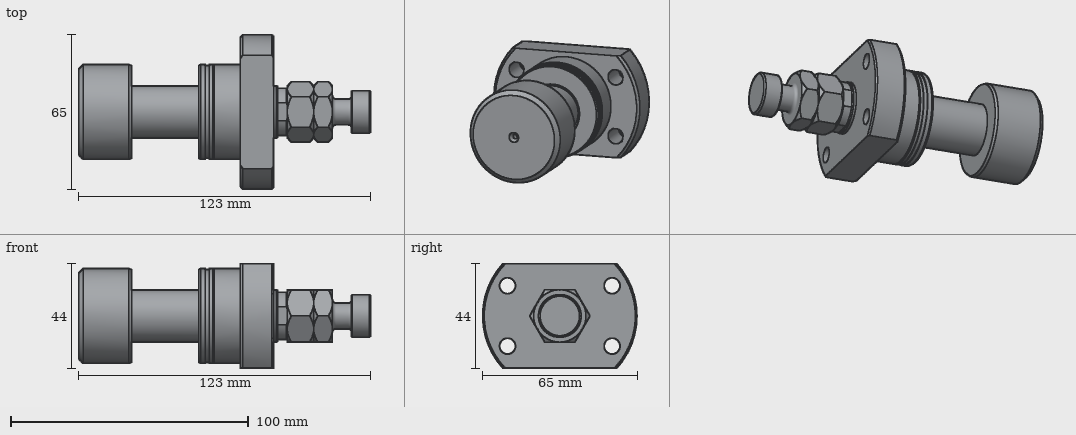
import cadquery as cq
import math


head_length = 22.3
stroke_gap = 28.2
sleeve_length = 17.5
flange_thickness = 14.0
collar_length = 1.8
wrench_neck_length = 4.0
nut_height = 11.1
stud_hex_height = 7.9
stud_neck_length = 8.0
overall_length = 123.0

sleeve_front = head_length + stroke_gap
flange_front = sleeve_front + sleeve_length
flange_back = flange_front + flange_thickness
collar_back = flange_back + collar_length
nut_front = collar_back + wrench_neck_length
stud_hex_front = nut_front + nut_height
stud_neck_front = stud_hex_front + stud_hex_height
stud_head_front = stud_neck_front + stud_neck_length

head_diameter = 40.0
head_front_chamfer = 1.9
head_back_chamfer_length = 1.2
head_back_chamfer_depth = 0.5
rod_diameter = 22.0
collar_chamfer_length = 0.7
collar_chamfer_depth = 0.3
wrench_neck_diameter = 21.4
wrench_neck_chamfer = 0.4
wrench_flat_spacing = 20.0
center_hole_diameter = 2.0
center_hole_depth = 6.0
center_countersink_diameter = 4.2
center_countersink_angle = 60.0
drill_point_angle = 118.0

sleeve_diameter = 40.0
sleeve_chamfer_length = 0.8
sleeve_chamfer_depth = 0.5
wide_groove_offset = 2.7
wide_groove_width = 1.8
narrow_groove_offset = 6.0
narrow_groove_width = 0.5
groove_depth = 0.4
mouth_chamfer = 1.0
flange_diameter = 65.0
flange_flat_spacing = 44.0
flange_front_chamfer = 1.1
flange_back_chamfer = 0.7
bolt_hole_diameter = 6.6
bolt_circle_diameter = 50.8
bolt_hole_angles = (30.0, 150.0, 210.0, 330.0)

hex_across_flats = 22.0
hex_corner_diameter = hex_across_flats / math.cos(math.radians(30.0))
hex_face_diameter = 22.0
stud_neck_diameter = 11.0
stud_neck_fillet_hex_side = 1.4
stud_neck_fillet_head_side = 1.2
stud_head_diameter = 18.0
stud_head_front_chamfer = 0.4
stud_head_back_chamfer = 0.7


def cylinder(start, length, diameter):
    """Cylinder on the X axis."""
    return cq.Workplane("YZ", origin=(start, 0, 0)).circle(diameter / 2).extrude(length)


def turned(profile):
    """Turned solid from (x, radius) points, closed along the X axis."""
    points = [(profile[0][0], 0), *profile, (profile[-1][0], 0)]
    return cq.Workplane("XY").polyline(points).close().revolve(360, (0, 0, 0), (1, 0, 0))


def bar_between_flats(start, length, width, height):
    """Rectangular bar on the X axis, width along Y and height along Z."""
    return cq.Workplane("YZ", origin=(start, 0, 0)).rect(width, height).extrude(length)


def ring(start, length, outer_diameter, inner_diameter):
    """Ring around the X axis."""
    return cylinder(start, length, outer_diameter).cut(cylinder(start, length, inner_diameter))


def make_center_hole():
    """Center-drilled hole in the rod head: countersink, pilot and drill point."""
    pilot_radius = center_hole_diameter / 2
    countersink_radius = center_countersink_diameter / 2
    countersink_tangent = math.tan(math.radians(center_countersink_angle / 2))
    countersink_depth = (countersink_radius - pilot_radius) / countersink_tangent
    point_length = pilot_radius / math.tan(math.radians(drill_point_angle / 2))
    return (
        cq.Workplane("XY")
        .polyline([
            (0, 0),
            (0, countersink_radius),
            (countersink_depth, pilot_radius),
            (center_hole_depth, pilot_radius),
            (center_hole_depth + point_length, 0),
        ])
        .close()
        .revolve(360, (0, 0, 0), (1, 0, 0))
    )


def make_rod():
    """Round head and rod, ending in a wrench neck with four flats."""
    head_radius = head_diameter / 2
    rod_radius = rod_diameter / 2
    neck_radius = wrench_neck_diameter / 2
    body = turned([
        (0, head_radius - head_front_chamfer),
        (head_front_chamfer, head_radius),
        (head_length - head_back_chamfer_length, head_radius),
        (head_length, head_radius - head_back_chamfer_depth),
        (head_length, rod_radius),
        (collar_back - collar_chamfer_length, rod_radius),
        (collar_back, rod_radius - collar_chamfer_depth),
    ])
    neck = turned([
        (collar_back, neck_radius),
        (nut_front - wrench_neck_chamfer, neck_radius),
        (nut_front, neck_radius - wrench_neck_chamfer),
    ])
    flats = bar_between_flats(collar_back, wrench_neck_length, wrench_flat_spacing, wrench_flat_spacing)
    return body.union(neck.intersect(flats)).cut(make_center_hole())


def make_sleeve():
    """Front cylinder of the housing with its two ring grooves."""
    radius = sleeve_diameter / 2
    sleeve = turned([
        (sleeve_front, radius - sleeve_chamfer_depth),
        (sleeve_front + sleeve_chamfer_length, radius),
        (flange_front, radius),
    ])
    floor_diameter = sleeve_diameter - 2 * groove_depth
    grooves = (
        (wide_groove_offset, wide_groove_width),
        (narrow_groove_offset, narrow_groove_width),
    )
    for offset, width in grooves:
        sleeve = sleeve.cut(ring(sleeve_front + offset, width, sleeve_diameter, floor_diameter))
    return sleeve


def make_flange():
    """Round flange trimmed by two flats, with four bolt holes."""
    radius = flange_diameter / 2
    disc = turned([
        (flange_front, radius - flange_front_chamfer),
        (flange_front + flange_front_chamfer, radius),
        (flange_back - flange_back_chamfer, radius),
        (flange_back, radius - flange_back_chamfer),
    ])
    flats = bar_between_flats(flange_front, flange_thickness, flange_diameter, flange_flat_spacing)
    flange = disc.intersect(flats)
    for angle in bolt_hole_angles:
        hole_y = bolt_circle_diameter / 2 * math.cos(math.radians(angle))
        hole_z = bolt_circle_diameter / 2 * math.sin(math.radians(angle))
        hole = cylinder(flange_front, flange_thickness, bolt_hole_diameter)
        flange = flange.cut(hole.translate((0, hole_y, hole_z)))
    return flange


def make_housing():
    """Flanged guide for the rod, with a chamfered mouth."""
    bore_radius = rod_diameter / 2
    bore = cylinder(sleeve_front, flange_back - sleeve_front, rod_diameter)
    mouth = turned([
        (sleeve_front, bore_radius + mouth_chamfer),
        (sleeve_front + mouth_chamfer, bore_radius),
    ])
    return make_sleeve().union(make_flange()).cut(bore).cut(mouth)


def make_hexagon(start, height):
    """Hexagon with corners along Y and 45 degree turned chamfers on both ends."""
    corner_radius = hex_corner_diameter / 2
    face_radius = hex_face_diameter / 2
    chamfer = corner_radius - face_radius
    prism = cq.Workplane("YZ", origin=(start, 0, 0)).polygon(6, hex_corner_diameter).extrude(height)
    envelope = turned([
        (start, face_radius),
        (start + chamfer, corner_radius),
        (start + height - chamfer, corner_radius),
        (start + height, face_radius),
    ])
    return prism.intersect(envelope)


def make_stud_end():
    """Filleted neck and round head of the coupling stud."""
    neck_radius = stud_neck_diameter / 2
    head_radius = stud_head_diameter / 2
    hex_fillet = stud_neck_fillet_hex_side
    head_fillet = stud_neck_fillet_head_side
    diagonal = 1 - math.sqrt(0.5)
    return (
        cq.Workplane("XY")
        .moveTo(stud_neck_front, 0)
        .lineTo(stud_neck_front, neck_radius + hex_fillet)
        .threePointArc(
            (stud_neck_front + diagonal * hex_fillet, neck_radius + diagonal * hex_fillet),
            (stud_neck_front + hex_fillet, neck_radius),
        )
        .lineTo(stud_head_front - head_fillet, neck_radius)
        .threePointArc(
            (stud_head_front - diagonal * head_fillet, neck_radius + diagonal * head_fillet),
            (stud_head_front, neck_radius + head_fillet),
        )
        .lineTo(stud_head_front, head_radius - stud_head_front_chamfer)
        .lineTo(stud_head_front + stud_head_front_chamfer, head_radius)
        .lineTo(overall_length - stud_head_back_chamfer, head_radius)
        .lineTo(overall_length, head_radius - stud_head_back_chamfer)
        .lineTo(overall_length, 0)
        .close()
        .revolve(360, (0, 0, 0), (1, 0, 0))
    )


def make_coupling():
    """Two hexagons back to back, carrying the stud end."""
    nut = make_hexagon(nut_front, nut_height)
    stud_hex = make_hexagon(stud_hex_front, stud_hex_height)
    return nut.union(stud_hex).union(make_stud_end())


rod = make_rod()
housing = make_housing()
coupling = make_coupling()

result = cq.Compound.makeCompound([rod.val(), housing.val(), coupling.val()])